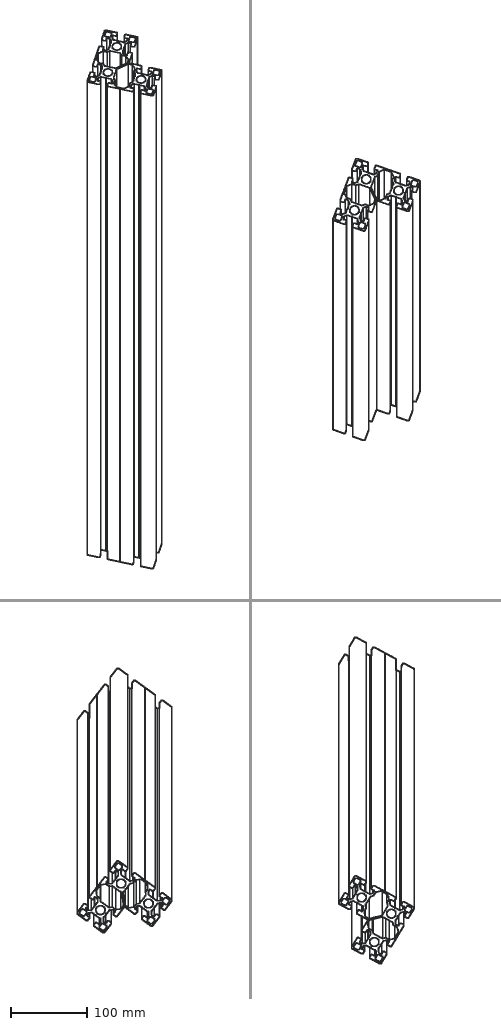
import cadquery as cq
import math

length = 1000.0
module = 45.0
outer_radius = 2.0

slot_opening = 10.0
slot_width = 20.0
slot_depth = 13.0
slot_chamfer = 3.0
lip_thickness = 6.0
lip_outer_radius = 1.5
lip_inner_radius = 1.0

groove_width = 1.0
groove_depth = 0.5

core_bore_diameter = 12.0
corner_hole_side = 8.0
corner_hole_wall = 2.2
corner_hole_radius = 2.0
chamber_wall = 2.0
chamber_bevel = 5.0
shelf_step = 3.0
web_thickness = 2.0

half = module / 2
core_half = half - slot_depth

corner_cell = (-half, -half)
right_cell = (half, -half)
upper_cell = (-half, half)

slots = [
    (corner_cell, (180, 270)),
    (right_cell, (0, 90, 270)),
    (upper_cell, (0, 90, 180)),
]
outer_corners = [
    (corner_cell, (180,)),
    (right_cell, (0, 270)),
    (upper_cell, (0, 90)),
]


def prism(points):
    """Full-length prism over a closed polygon."""
    return cq.Workplane("XY").polyline(points).close().extrude(length)


def placed(shape, cell, angle):
    """Turn a shape about the Z axis and move it to a cell centre."""
    return shape.rotate((0, 0, 0), (0, 0, 1), angle).translate((cell[0], cell[1], 0))


def mirrored_pair(shape):
    """A shape and its mirror image across the diagonal X = Y."""
    swapped = shape.mirror("YZ").rotate((0, 0, 0), (0, 0, 1), -90)
    return [shape, swapped]


def l_blank():
    """Solid L with rounded outer corners and a sharp inner corner."""
    square = cq.Workplane("XY").rect(2 * module, 2 * module).extrude(length)
    notch = cq.Workplane("XY").rect(module, module, centered=False).extrude(length)
    blank = square.cut(notch)
    inner_edge = cq.selectors.NearestToPointSelector((0, 0, length / 2))
    outer_edges = cq.selectors.ParallelDirSelector(cq.Vector(0, 0, 1)) - inner_edge
    return blank.edges(outer_edges).fillet(outer_radius)


def t_slot():
    """Slot opening toward +X, with rounded lips and a V-groove along the middle of its floor."""
    lip_x = half - lip_thickness
    mouth = slot_opening / 2
    side = slot_width / 2
    upper_half = (
        cq.Workplane("XY")
        .moveTo(core_half - groove_depth, 0)
        .lineTo(core_half, groove_width / 2)
        .lineTo(core_half, side - slot_chamfer)
        .lineTo(core_half + slot_chamfer, side)
        .lineTo(lip_x, side)
        .lineTo(lip_x, mouth + lip_inner_radius)
        .radiusArc((lip_x + lip_inner_radius, mouth), -lip_inner_radius)
        .lineTo(half - lip_outer_radius, mouth)
        .radiusArc((half, mouth + lip_outer_radius), -lip_outer_radius)
        .lineTo(half, 0)
        .close()
        .extrude(length)
    )
    return upper_half.union(upper_half.mirror("XZ"))


def corner_hole():
    """Rounded square hole behind the +X +Y corner of a cell."""
    centre = half - corner_hole_wall - corner_hole_side / 2
    outline = cq.Workplane("XY").center(centre, centre).rect(corner_hole_side, corner_hole_side)
    return outline.extrude(length).edges("|Z").fillet(corner_hole_radius)


def chamber():
    """Hollow between the corner cell and the upper cell, bounded by the diagonal web."""
    left = chamber_wall - module
    right = -chamber_wall
    middle = upper_cell[0]
    top = half - core_half
    shelf = top - shelf_step
    side = shelf - chamber_bevel
    floor_half = slot_width / 2 - slot_chamfer
    shelf_half = floor_half + shelf_step
    web_offset = web_thickness / math.sqrt(2)
    return prism([
        (middle - floor_half, -top),
        (-top - web_offset, -top),
        (right, right + web_offset),
        (right, side),
        (right - chamber_bevel, shelf),
        (middle + shelf_half, shelf),
        (middle + floor_half, top),
        (middle - floor_half, top),
        (middle - shelf_half, shelf),
        (left + chamber_bevel, shelf),
        (left, side),
        (left, -side),
        (left + chamber_bevel, -shelf),
        (middle - shelf_half, -shelf),
    ])


def joint_groove():
    """V-groove in the -X face where the corner cell meets the upper cell."""
    return prism([
        (-module, -groove_width / 2),
        (groove_depth - module, 0),
        (-module, groove_width / 2),
    ])


result = l_blank()

core_bore = cq.Workplane("XY").circle(core_bore_diameter / 2).extrude(length)
slot = t_slot()
for cell, angles in slots:
    result = result.cut(placed(core_bore, cell, 0))
    for angle in angles:
        result = result.cut(placed(slot, cell, angle))

hole = corner_hole()
for cell, angles in outer_corners:
    for angle in angles:
        result = result.cut(placed(hole, cell, angle))

for hollow in mirrored_pair(chamber()) + mirrored_pair(joint_groove()):
    result = result.cut(hollow)